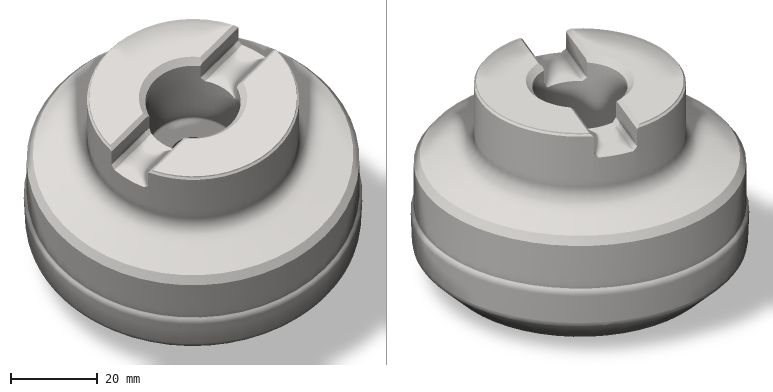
import cadquery as cq
import math

TOTAL_HEIGHT = 49.95
CUP_HEIGHT = 16.8

CUP_RADIUS = 39.115
CUP_ROUND_HEIGHT = 1.6
CUP_WALL_FOOT_RADIUS = 38.8
CUP_BOTTOM_RADIUS = 31.8
CUP_EDGE_FILLET = 2.0

BODY_RADIUS = 76.87 / 2
BODY_TOP_Z = 28.15
SHOULDER_RADIUS = 37.0
SHOULDER_Z = 30.05
SHOULDER_SLOPE = math.radians(15)
NECK_RADIUS = 49 / 2
NECK_FILLET = 3.0
NECK_RIM_CHAMFER = 0.4
NECK_TOP_BREAK_WIDTH = 0.1
NECK_TOP_BREAK_HEIGHT = 0.3

BORE_RADIUS = 22.01 / 2
BORE_DEPTH = 20.0
BORE_MOUTH_CHAMFER = 1.5
BORE_FLOOR_FILLET = 0.45
HOLE_RADIUS = 10.5 / 2

SLOT_WIDTH = 10.6
SLOT_DEPTH = 6.5
SLOT_FLOOR_CHAMFER = 0.95
SLOT_MOUTH_CHAMFER = 0.95


def revolve_about_z(profile):
    """Turn a closed radius-height outline into a solid around the Z axis."""
    return profile.close().revolve(360, (0, 0, 0), (0, 1, 0))


def make_through_hole():
    return cq.Workplane("XY").circle(HOLE_RADIUS).extrude(TOTAL_HEIGHT)


def make_bore():
    """Bore with a chamfered mouth and a rounded floor corner."""
    floor_z = TOTAL_HEIGHT - BORE_DEPTH
    bore = cq.Workplane("XY").workplane(offset=floor_z).circle(BORE_RADIUS).extrude(BORE_DEPTH)
    bore = bore.faces("<Z").edges().fillet(BORE_FLOOR_FILLET)
    mouth = revolve_about_z(
        cq.Workplane("XZ")
        .moveTo(0, TOTAL_HEIGHT - BORE_MOUTH_CHAMFER)
        .lineTo(BORE_RADIUS, TOTAL_HEIGHT - BORE_MOUTH_CHAMFER)
        .lineTo(BORE_RADIUS + BORE_MOUTH_CHAMFER, TOTAL_HEIGHT)
        .lineTo(0, TOTAL_HEIGHT)
    )
    return bore.union(mouth)


def make_slot():
    """Slot with chamfered floor corners and chamfered upper edges."""
    length = 2 * BODY_RADIUS
    half_width = SLOT_WIDTH / 2
    channel = (
        cq.Workplane("XY")
        .workplane(offset=TOTAL_HEIGHT - SLOT_DEPTH)
        .rect(SLOT_WIDTH, length)
        .extrude(SLOT_DEPTH)
        .faces("<Z")
        .edges("|Y")
        .chamfer(SLOT_FLOOR_CHAMFER)
    )
    mouth = (
        cq.Workplane("XZ")
        .moveTo(-half_width, TOTAL_HEIGHT - SLOT_MOUTH_CHAMFER)
        .lineTo(half_width, TOTAL_HEIGHT - SLOT_MOUTH_CHAMFER)
        .lineTo(half_width + SLOT_MOUTH_CHAMFER, TOTAL_HEIGHT)
        .lineTo(-half_width - SLOT_MOUTH_CHAMFER, TOTAL_HEIGHT)
        .close()
        .extrude(length / 2, both=True)
    )
    return channel.union(mouth)


def make_hub():
    """Upper body with a sloped shoulder, a filleted neck, a drive slot and a bore."""
    fillet_foot_radius = NECK_RADIUS + NECK_FILLET * (1 - math.sin(SHOULDER_SLOPE))
    fillet_foot_z = SHOULDER_Z + (SHOULDER_RADIUS - fillet_foot_radius) * math.tan(SHOULDER_SLOPE)
    fillet_top_z = fillet_foot_z + NECK_FILLET * math.cos(SHOULDER_SLOPE)
    middle_angle = math.pi / 4 - SHOULDER_SLOPE / 2
    fillet_middle = (
        NECK_RADIUS + NECK_FILLET * (1 - math.cos(middle_angle)),
        fillet_top_z - NECK_FILLET * math.sin(middle_angle),
    )
    break_foot_radius = NECK_RADIUS - NECK_RIM_CHAMFER
    break_foot_z = TOTAL_HEIGHT - NECK_TOP_BREAK_HEIGHT
    hub = revolve_about_z(
        cq.Workplane("XZ")
        .moveTo(0, CUP_HEIGHT)
        .lineTo(BODY_RADIUS, CUP_HEIGHT)
        .lineTo(BODY_RADIUS, BODY_TOP_Z)
        .lineTo(SHOULDER_RADIUS, SHOULDER_Z)
        .lineTo(fillet_foot_radius, fillet_foot_z)
        .threePointArc(fillet_middle, (NECK_RADIUS, fillet_top_z))
        .lineTo(NECK_RADIUS, break_foot_z - NECK_RIM_CHAMFER)
        .lineTo(break_foot_radius, break_foot_z)
        .lineTo(break_foot_radius - NECK_TOP_BREAK_WIDTH, TOTAL_HEIGHT)
        .lineTo(0, TOTAL_HEIGHT)
    )
    return hub.cut(make_bore()).cut(make_slot()).cut(make_through_hole())


def make_cup():
    """Lower cup with a rounded upper rim, a slightly tapered wall and a conical base."""
    rim_z = CUP_HEIGHT - CUP_ROUND_HEIGHT
    wall_foot_z = CUP_WALL_FOOT_RADIUS - CUP_BOTTOM_RADIUS
    cup = revolve_about_z(
        cq.Workplane("XZ")
        .lineTo(CUP_BOTTOM_RADIUS, 0)
        .lineTo(CUP_WALL_FOOT_RADIUS, wall_foot_z)
        .lineTo(CUP_RADIUS, rim_z)
        .tangentArcPoint((BODY_RADIUS, CUP_HEIGHT), relative=False)
        .lineTo(0, CUP_HEIGHT)
    )
    wall_foot = cup.edges("%CIRCLE").edges(">>Z[1]")
    return wall_foot.fillet(CUP_EDGE_FILLET).cut(make_through_hole())


hub = make_hub()
cup = make_cup()

result = cq.Compound.makeCompound([hub.val(), cup.val()])